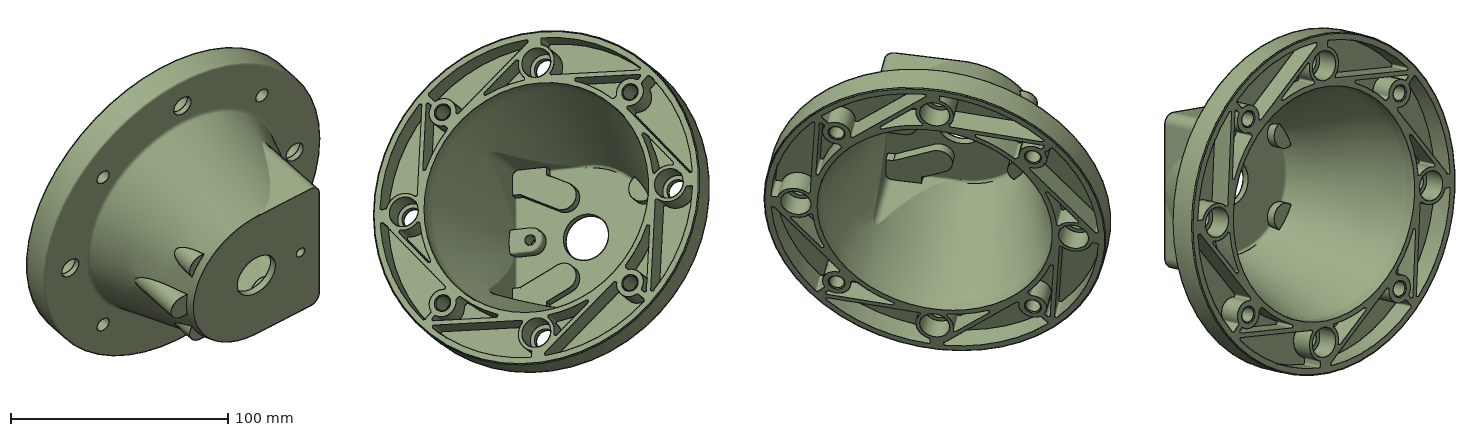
import cadquery as cq
import math


flange_diameter = 160
flange_thickness = 14.0
total_length = 70.0

cone_half_angle = 18
cone_end_radius = 36.5
cavity_mouth_radius = 54.2
neck_fillet = 2.0
bore_diameter = 110.0
bore_depth = 5.6
bore_taper_end = 9.0

plate_half_width = 36.5
plate_low_edge = -56.2
plate_thickness = 3.7
plate_corner_radius = 5.3
box_wall = 2.2
box_blend_fillet = 1.0
floor_fillet = 1.5
box_floor_fillet = 1.0
center_hole_diameter = 22.0

plate_boss_radius = 6.5
plate_boss_spacing = 38.9
pad_thickness = 4.8
pad_overlap = 0.5
pad_arm_angle = 26
pad_side_z = 22.4
pad_step = 17.6
pin_boss_radius = 6.0
pin_boss_y = 25.6
pin_hole_diameter = 5.0
pin_boss_edge = 1.0
outer_boss_y = -40.5

hole_circle_radius = 65.0
bolt_hole_diameter = 10.0
bolt_counterbore_diameter = 14.0
bolt_counterbore_depth = 11.2
screw_hole_diameter = 7.0
screw_hole_chamfer = 0.5
bolt_boss_radius = 8.8
screw_boss_radius = 6.5
pocket_depth = 11.2
pocket_outer_radius = 76.6
pocket_inner_radius = 57.5
pocket_corner_radius = 0.8
rib_thickness = 2.0
bolt_web_ahead = 2.2
bolt_web_behind = 4.2
screw_web_side = 1.3
boss_neck_width = 8.0
rib_distance = 57.6
rib_turn = 3
hole_count = 8
front_edge_chamfer = 0.5
back_edge_fillet = 1.0

floor_x = total_length - plate_thickness
pad_x = floor_x - pad_thickness
cone_slope = math.tan(math.radians(cone_half_angle))
box_half_width = plate_half_width - box_wall
box_start = 16.0


def outer_radius(x):
    return cone_end_radius + (total_length - x) * cone_slope


def at_x(x):
    return cq.Workplane("YZ", origin=(x, 0, 0))


def polar(radius, degrees):
    angle = math.radians(degrees)
    return (radius * math.cos(angle), radius * math.sin(angle))


def disc(x, length, radius, y=0, z=0):
    return at_x(x).center(y, z).circle(radius).extrude(length)


def block(x, length, y_low, y_high, half_width):
    middle = (y_low + y_high) / 2
    return at_x(x).center(middle, 0).rect(y_high - y_low, 2 * half_width).extrude(length)


def outer_body():
    flange = disc(0, flange_thickness, flange_diameter / 2)
    flange = flange.faces("<X").edges().chamfer(front_edge_chamfer)
    flange = flange.faces(">X").edges().fillet(back_edge_fillet)
    cone = (
        cq.Workplane("XY")
        .polyline([
            (0, 0),
            (0, outer_radius(0)),
            (total_length, outer_radius(total_length)),
            (total_length, 0),
        ])
        .close()
        .revolve(360, (0, 0, 0), (1, 0, 0))
    )
    body = flange.union(cone)
    neck_reach = outer_radius(flange_thickness) + neck_fillet
    neck = cq.selectors.BoxSelector(
        (flange_thickness - 0.2, -neck_reach, -neck_reach),
        (flange_thickness + 0.2, neck_reach, neck_reach),
        boundingbox=True,
    )
    return body.edges(neck).fillet(neck_fillet)


def blend_box_into_cone(body):
    """Round the curved edges where the flat and rounded sides of the box run into the cone."""
    reach = flange_diameter / 2
    zone = cq.selectors.BoxSelector((box_start, 0, -reach), (pad_x, reach, reach))
    return body.edges(zone).edges("%HYPERBOLA or %BSPLINE").fillet(box_blend_fillet)


def square_half():
    """Square half of the housing on the +Y side, with rounded corners."""
    box = block(box_start, total_length - box_start, 0, plate_half_width, plate_half_width)
    return box.edges("|X and >Y").fillet(plate_corner_radius)


def plate():
    slab = block(floor_x, plate_thickness, plate_low_edge, plate_half_width, plate_half_width)
    return slab.edges("|X").fillet(plate_corner_radius)


plate_middle_y = (plate_low_edge + plate_half_width) / 2
boss_z = plate_boss_spacing / 2
near_boss_y = plate_middle_y + plate_boss_spacing / 2
far_boss_y = plate_middle_y - plate_boss_spacing / 2


def outside_bosses():
    length = floor_x - box_start
    pin = disc(box_start, length, pin_boss_radius, outer_boss_y)
    bosses = pin.union(block(box_start, length, outer_boss_y, 0, pin_boss_radius))
    for side in (1, -1):
        bosses = bosses.union(disc(box_start, length, plate_boss_radius, far_boss_y, side * boss_z))
    return bosses


def cavity():
    cone = (
        cq.Workplane("XY")
        .polyline([
            (0, 0),
            (0, bore_diameter / 2),
            (bore_depth, bore_diameter / 2),
            (bore_taper_end, cavity_mouth_radius),
            (floor_x, box_half_width),
            (floor_x, 0),
        ])
        .close()
        .revolve(360, (0, 0, 0), (1, 0, 0))
    )
    box = block(box_start, floor_x - box_start, 0, box_half_width, box_half_width)
    box = box.edges("|X and >Y").fillet(plate_corner_radius - box_wall)
    cone = cone.faces(">X").edges().fillet(floor_fillet)
    box = box.faces(">X").edges("not <Y").fillet(box_floor_fillet)
    return blend_box_into_cone(cone.union(box))


wall = box_half_width + pad_overlap


def corner_pad(side):
    """Raised pad from a plate boss to the corner of the square half."""
    slope = math.tan(math.radians(pad_arm_angle))
    rise_y, rise_z = polar(plate_boss_radius, pad_arm_angle + 90)
    upper = (near_boss_y + rise_y, boss_z + rise_z)
    lower = (near_boss_y - rise_y, boss_z - rise_z)
    points = [
        upper,
        (pad_step, upper[1] + (pad_step - upper[0]) * slope),
        (pad_step, wall),
        (wall, wall),
        (wall, pad_side_z),
        (lower[0] + (pad_side_z - lower[1]) / slope, pad_side_z),
        lower,
    ]
    arm = at_x(pad_x).polyline([(y, side * z) for y, z in points]).close().extrude(pad_thickness)
    return arm.union(disc(pad_x, pad_thickness, plate_boss_radius, near_boss_y, side * boss_z))


def inside_pads():
    tongue = disc(pad_x, pad_thickness, pin_boss_radius, pin_boss_y)
    tongue = tongue.union(block(pad_x, pad_thickness, pin_boss_y, plate_half_width, pin_boss_radius))
    pads = tongue.faces("<X").edges("not >Y").fillet(pin_boss_edge)
    for side in (1, -1):
        pads = pads.union(corner_pad(side))
        pads = pads.union(disc(pad_x, pad_thickness, plate_boss_radius, far_boss_y, side * boss_z))
    return pads


def flange_pockets():
    """Annular recess split by bosses and slanted ribs, with rounded corners."""
    ring = disc(0, pocket_depth, pocket_outer_radius).cut(disc(0, pocket_depth, pocket_inner_radius))
    rib_length = flange_diameter / 2
    for i in range(hole_count):
        angle = i * 360 / hole_count
        is_bolt = i % 2 == 0
        boss_radius = bolt_boss_radius if is_bolt else screw_boss_radius
        web_ahead = bolt_web_ahead if is_bolt else screw_web_side
        web_behind = bolt_web_behind if is_bolt else screw_web_side
        ring = ring.cut(disc(0, pocket_depth, boss_radius, *polar(hole_circle_radius, angle)))
        slanted = (
            at_x(0)
            .center(rib_distance, rib_length / 2)
            .rect(rib_thickness, rib_length)
            .extrude(pocket_depth)
            .rotate((0, 0, 0), (1, 0, 0), angle + rib_turn)
        )
        radial = (
            at_x(0)
            .center(hole_circle_radius + rib_length / 2, (web_ahead - web_behind) / 2)
            .rect(rib_length, web_ahead + web_behind)
            .extrude(pocket_depth)
            .rotate((0, 0, 0), (1, 0, 0), angle)
        )
        neck = (
            at_x(0)
            .center(rib_distance, 0)
            .rect(2 * (hole_circle_radius - rib_distance), boss_neck_width)
            .extrude(pocket_depth)
            .rotate((0, 0, 0), (1, 0, 0), angle)
        )
        ring = ring.cut(slanted).cut(radial).cut(neck)
    return ring.edges("|X").fillet(pocket_corner_radius)


def flange_holes():
    holes = cq.Workplane("YZ")
    for i in range(hole_count):
        y, z = polar(hole_circle_radius, i * 360 / hole_count)
        if i % 2 == 0:
            holes = holes.add(disc(0, flange_thickness, bolt_hole_diameter / 2, y, z))
            holes = holes.add(disc(0, bolt_counterbore_depth, bolt_counterbore_diameter / 2, y, z))
        else:
            holes = holes.add(disc(0, flange_thickness, screw_hole_diameter / 2, y, z))
            mouth = at_x(0).center(y, z).circle(screw_hole_diameter / 2 + screw_hole_chamfer)
            holes = holes.add(mouth.extrude(screw_hole_chamfer, taper=45))
    return holes.combine()


housing = blend_box_into_cone(outer_body().union(square_half()))
housing = housing.union(plate()).union(outside_bosses())
housing = housing.cut(cavity()).union(inside_pads())
housing = housing.cut(disc(0, total_length, center_hole_diameter / 2))
housing = housing.cut(disc(0, total_length, pin_hole_diameter / 2, pin_boss_y))
result = housing.cut(flange_holes()).cut(flange_pockets())